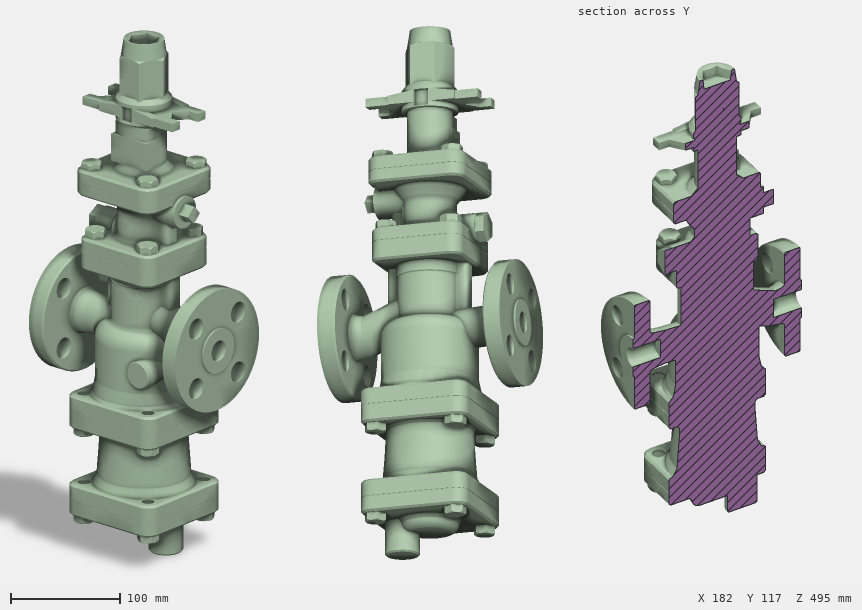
import cadquery as cq
import math


HEX_CORNER_RATIO = 1 / math.cos(math.pi / 6)

COVER_SIDE, COVER_CORNER = 94.0, 13.5
COVER_TOP, COVER_JOINT, COVER_BOTTOM = 158.3, 145.2, 133.2
PILOT_SIDE, PILOT_CORNER = 88.0, 12.0
PILOT_TOP, PILOT_JOINT, PILOT_BOTTOM = 91.2, 78.5, 60.0
BODY_SIDE, BODY_CORNER = 104.0, 12.0
BODY_TOP, BODY_JOINT, BODY_BOTTOM = -62.4, -78.2, -94.7
BASE_TOP, BASE_JOINT, BASE_BOTTOM = -149.2, -165.4, -180.0
FLANGE_EDGE = 2.0
JOINT_GAP = 1.0
JOINT_DEPTH = 0.5

BOLT_FLATS = 17.48
COVER_BOLT_OFFSET = 34.0
PILOT_BOLT_OFFSET = 31.6
BODY_BOLT_OFFSET = 39.0
COVER_HEAD, PILOT_HEAD, BODY_HEAD = 6.0, 7.4, 7.4
BOLT_HOLE_DIA = 12.0
BOLT_HOLE_DEPTH = 2.0

CAP_TOP = 284.3
CAP_HEX_TOP = 269.0
CAP_FLATS = 41.0
CAP_NOSE_DIA, CAP_NOSE_BASE_DIA = 37.4, 42.0
CAP_CHAMFER = 2.0
SOCKET_FLATS, SOCKET_FLOOR_FLATS = 27.0, 24.0
SOCKET_DEPTH = 11.0
SOCKET_MOUTH_DIA = 34.0
SOCKET_MOUTH_DEPTH = 2.0
HUB_DIA, HUB_GROOVE_DIA = 52.0, 48.0
HUB_TOP, HUB_BOTTOM = 227.0, 207.0
HUB_GROOVE_TOP, HUB_GROOVE_BOTTOM = 220.9, 219.7
HUB_CONE_DIA, HUB_CONE_HEIGHT = 44.0, 4.5
NECK_DIA = 42.0
NECK_FOOT_DIA = 56.0
NECK_FOOT_HEIGHT = 6.4

PAD_HALF_WIDTH = 21.5
PAD_BOTTOM, PAD_STEP, PAD_TOP = 164.7, 191.4, 203.7
UPPER_PAD_HALF_WIDTH = 20.0
UPPER_PAD_CORNER_Y = -17.0

WRENCH_LENGTH, WRENCH_WIDTH = 109.4, 46.0
WRENCH_TOP, WRENCH_BOTTOM = 219.7, 211.7
JAW_WIDTH = 25.0
JAW_SIDE_X, JAW_ROOT_X = 44.0, 34.5
WEDGE_IN_X, WEDGE_OUT_X = 7.0, 32.5
WEDGE_IN_Y, WEDGE_OUT_Y = 17.0, 25.2
WEDGE_RISE = 3.8
HUB_SLOT_BOTTOM = 208.0

PILOT_NECK_DIA, PILOT_FOOT_RADIUS = 49.4, 4.0
PILOT_FLARE_DIA = 67.0
PILOT_RIM_DIA, PILOT_RIM_Z = 63.0, 129.5
PILOT_BEND_DIA, PILOT_BEND_TOP, PILOT_BEND_BOTTOM = 54.0, 123.0, 118.0
PORT_FLATS = 24.0
PORT_HEX_DIA = PORT_FLATS * HEX_CORNER_RATIO
PORT_Z, PORT_DIA = 94.0, 27.0
PORT_END_X, PORT_HEX_X = -56.4, -48.0
PORT_FLARE_X, PORT_ROOT_X, PORT_FLARE_DIA = -28.5, -22.0, 40.0
PLUG_Z, PLUG_BOSS_DIA = 125.6, 30.6
PLUG_BOSS_END_X, PLUG_END_X = 50.0, 61.0
PLUG_SIDE = 12.0

UPPER_BODY_DIA = 60.0
UPPER_BAND_DIA, UPPER_BAND_BOTTOM, UPPER_BAND_BEVEL = 62.0, 50.4, 1.0
BODY_DIA = 90.0
SHOULDER_TOP, SHOULDER_BOTTOM = 7.5, -7.5
SHOULDER_INNER_DIA = 67.0
SHOULDER_FILLET_TOP = 12.0
SKIRT_TOP, SKIRT_DIA, SKIRT_BOTTOM = -47.4, 95.0, -59.4
SKIRT_FOOT_DIA = 100.0
COLUMN_WIDTH, COLUMN_CORNER, COLUMN_FILLET = 16.0, 4.4, 5.0
BODY_COLUMN_X, BODY_COLUMN_ROOT_X = 39.4, 32.0
PILOT_COLUMN_X, PILOT_COLUMN_ROOT_X = 35.6, 27.0
FRONT_BOSS_X, FRONT_BOSS_Z = 29.8, -27.0
FRONT_BOSS_DIA, FRONT_BOSS_FACE_Y = 26.0, -43.5
FRONT_BOSS_CHAMFER = 1.0

TRAP_COLLAR_DIA, TRAP_COLLAR_BOTTOM = 86.0, -97.0
TRAP_TOP_DIA, TRAP_TAPER_TOP = 81.6, -103.5
TRAP_BASE_DIA, TRAP_TAPER_BOTTOM = 87.0, -141.0
TRAP_FOOT_DIA = 96.0
BOWL_TOP_DIA = 59.0
BOWL_RIM_DIA, BOWL_RIM_Z = 54.0, -183.5
BOWL_BOTTOM_DIA, BOWL_BOTTOM = 40.0, -191.6
BOWL_ROUNDING = 9.0
OUTLET_X, OUTLET_DIA, OUTLET_BOTTOM = 26.8, 32.0, -210.7
OUTLET_CHAMFER = 1.5

FACE_X, RAISED_DEPTH, RAISED_DIA = 91.0, 2.0, 43.0
PIPE_FLANGE_DIA, PIPE_FLANGE_BACK_X = 117.0, 72.0
PIPE_FLANGE_CHAMFER = 1.5
PIPE_ROOT_DIA = 44.0
PIPE_HUB_DIA, PIPE_HUB_X = 41.0, 69.6
PIPE_DIA = 37.4
INLET_BEND_X, OUTLET_BEND_X = 56.5, 60.5
BORE_DIA, BORE_DEPTH = 20.0, 30.0
PIPE_BOLT_DIA, PIPE_BOLT_CIRCLE = 20.0, 82.6
INLET_TILT, OUTLET_TILT = -3.0, 22.0
BRANCH_LENGTH = 45.0

ARROW_Z, ARROW_HALF_LENGTH = 39.0, 19.0
ARROW_TAIL_HALF, ARROW_STEM_HALF, ARROW_HEAD_HALF = 5.7, 1.8, 5.7
ARROW_HEIGHT = 0.4


def turned(points):
    """Solid of revolution about Z from (radius, z) points, closed on the axis."""
    outline = [(0, points[0][1])] + points + [(0, points[-1][1])]
    return cq.Workplane("XZ").polyline(outline).close().revolve(360, (0, 0, 0), (0, 1, 0))


def disc(diameter, bottom, top):
    return cq.Workplane("XY").workplane(offset=bottom).circle(diameter / 2).extrude(top - bottom)


def hexagon(flats, bottom, top):
    """Hexagonal prism along Z with two corners on the X axis."""
    corners = flats * HEX_CORNER_RATIO
    return cq.Workplane("XY").workplane(offset=bottom).polygon(6, corners).extrude(top - bottom)


def along_x(start_x, end_x, diameter, z=0.0):
    plane = cq.Workplane("YZ", origin=(start_x, 0, z))
    return plane.circle(diameter / 2).extrude(end_x - start_x)


def flange_half(side, corner, bottom, top, edge):
    """Square plate with rounded corners; edge selects the face that is chamfered."""
    plate = cq.Workplane("XY").workplane(offset=bottom).rect(side, side).extrude(top - bottom)
    return plate.edges("|Z").fillet(corner).faces(edge).chamfer(FLANGE_EDGE)


def flange_pair(side, corner, bottom, joint, top):
    """Two bolted plates with a slightly smaller gasket between them."""
    upper = flange_half(side, corner, joint + JOINT_GAP / 2, top, ">Z")
    lower = flange_half(side, corner, bottom, joint - JOINT_GAP / 2, "<Z")
    gasket_side = side - 2 * JOINT_DEPTH
    gasket = cq.Workplane("XY").workplane(offset=joint - JOINT_GAP / 2)
    gasket = gasket.rect(gasket_side, gasket_side).extrude(JOINT_GAP)
    gasket = gasket.edges("|Z").fillet(corner - JOINT_DEPTH)
    return upper.union(gasket).union(lower)


def bolt_heads(offset, seat, height):
    """Four hexagon heads; a negative height hangs them below the seat."""
    corner_radius = BOLT_FLATS / 2 * HEX_CORNER_RATIO
    crown = corner_radius - BOLT_FLATS / 2
    end = seat + height
    shoulder = end - math.copysign(crown, height)
    envelope = turned([(corner_radius, seat), (corner_radius, shoulder), (BOLT_FLATS / 2, end)])
    head = hexagon(BOLT_FLATS, min(seat, end), max(seat, end)).intersect(envelope)
    head = head.translate((-offset, -offset, 0))
    heads = head
    for quarter in range(1, 4):
        heads = heads.union(head.rotate((0, 0, 0), (0, 0, 1), 90 * quarter))
    return heads


def bolt_holes(top):
    """Shallow bolt holes in the top of a body flange."""
    spacing = 2 * BODY_BOLT_OFFSET
    holes = cq.Workplane("XY").workplane(offset=top)
    holes = holes.rect(spacing, spacing, forConstruction=True).vertices()
    return holes.circle(BOLT_HOLE_DIA / 2).extrude(-BOLT_HOLE_DEPTH)


def column(outer_x, root_x, bottom, top):
    """Upright passage rib on the +X side with concave root fillets starting at root_x."""
    half = COLUMN_WIDTH / 2
    foot_x, foot_y = root_x - COLUMN_FILLET, half + COLUMN_FILLET
    rib = cq.Workplane("XY").workplane(offset=bottom)
    rib = rib.moveTo(0, -foot_y).lineTo(foot_x, -foot_y)
    rib = rib.radiusArc((root_x, -half), COLUMN_FILLET)
    rib = rib.lineTo(outer_x, -half).lineTo(outer_x, half).lineTo(root_x, half)
    rib = rib.radiusArc((foot_x, foot_y), COLUMN_FILLET)
    rib = rib.lineTo(0, foot_y).close().extrude(top - bottom)
    return rib.edges("|Z and >X").fillet(COLUMN_CORNER)


def adjusting_cap():
    """Hexagon cap with a tapered nose and a drafted hexagon socket."""
    corner_radius = CAP_FLATS / 2 * HEX_CORNER_RATIO
    base_radius = CAP_NOSE_BASE_DIA / 2
    envelope = turned([
        (corner_radius, HUB_TOP),
        (corner_radius, CAP_HEX_TOP - CAP_CHAMFER),
        (base_radius, CAP_HEX_TOP),
    ])
    cap = hexagon(CAP_FLATS, HUB_TOP, CAP_HEX_TOP).intersect(envelope)
    nose = turned([(base_radius, CAP_HEX_TOP), (CAP_NOSE_DIA / 2, CAP_TOP)])
    socket = cq.Workplane("XY").workplane(offset=CAP_TOP).polygon(6, SOCKET_FLATS * HEX_CORNER_RATIO)
    socket = socket.workplane(offset=-SOCKET_DEPTH).polygon(6, SOCKET_FLOOR_FLATS * HEX_CORNER_RATIO)
    socket = socket.loft(ruled=True)
    mouth = turned([
        (SOCKET_FLATS / 2, CAP_TOP - SOCKET_MOUTH_DEPTH),
        (SOCKET_MOUTH_DIA / 2, CAP_TOP),
    ])
    return cap.union(nose).cut(socket).cut(mouth)


def hub():
    """Grooved round collar under the cap, coned towards the hexagon."""
    outer, inner = HUB_DIA / 2, HUB_GROOVE_DIA / 2
    return turned([
        (outer, HUB_BOTTOM),
        (outer, HUB_GROOVE_BOTTOM),
        (inner, HUB_GROOVE_BOTTOM),
        (inner, HUB_GROOVE_TOP),
        (outer, HUB_GROOVE_TOP),
        (outer, HUB_TOP),
        (HUB_CONE_DIA / 2, HUB_TOP + HUB_CONE_HEIGHT),
    ])


def wrench_plate():
    """Flat bar with an open jaw at each end."""
    thickness = WRENCH_TOP - WRENCH_BOTTOM
    plate = cq.Workplane("XY").workplane(offset=WRENCH_BOTTOM)
    plate = plate.rect(WRENCH_LENGTH, WRENCH_WIDTH).extrude(thickness)
    for side in (-1, 1):
        jaw = cq.Workplane("XY").workplane(offset=WRENCH_BOTTOM).polyline([
            (side * WRENCH_LENGTH / 2, -JAW_WIDTH / 2),
            (side * JAW_SIDE_X, -JAW_WIDTH / 2),
            (side * JAW_ROOT_X, 0),
            (side * JAW_SIDE_X, JAW_WIDTH / 2),
            (side * WRENCH_LENGTH / 2, JAW_WIDTH / 2),
        ]).close().extrude(thickness)
        plate = plate.cut(jaw)
    return plate


def wedges():
    """Four pads beside the hub that thicken the plate towards the middle."""
    profile = [
        (WEDGE_OUT_X, WRENCH_BOTTOM),
        (WEDGE_OUT_X, WRENCH_TOP),
        (WEDGE_IN_X, WRENCH_TOP + WEDGE_RISE),
        (WEDGE_IN_X, WRENCH_BOTTOM),
    ]
    pad = cq.Workplane("XZ", origin=(0, -WEDGE_IN_Y, 0)).polyline(profile).close()
    pad = pad.extrude(WEDGE_OUT_Y - WEDGE_IN_Y)
    pair = pad.union(pad.mirror("YZ"))
    return pair.union(pair.mirror("XZ"))


def hub_slots():
    """Slots through the front and back of the hub, down to the neck surface."""
    bottom, top = HUB_SLOT_BOTTOM, WRENCH_TOP + WEDGE_RISE
    slot = cq.Workplane("XY").workplane(offset=bottom)
    slot = slot.rect(2 * WEDGE_IN_X, HUB_DIA).extrude(top - bottom)
    return slot.cut(disc(NECK_DIA, bottom, top))


def neck():
    """Round neck above the cover with squared-off pads on its front half."""
    radius, foot = NECK_DIA / 2, NECK_FOOT_DIA / 2
    post = turned([
        (foot, COVER_TOP),
        (radius, COVER_TOP + NECK_FOOT_HEIGHT),
        (radius, HUB_BOTTOM),
    ])
    lower = cq.Workplane("XY").workplane(offset=PAD_BOTTOM)
    lower = lower.center(0, -PAD_HALF_WIDTH / 2).rect(2 * PAD_HALF_WIDTH, PAD_HALF_WIDTH)
    lower = lower.extrude(PAD_STEP - PAD_BOTTOM)
    upper = cq.Workplane("XY").workplane(offset=PAD_STEP)
    upper = upper.moveTo(UPPER_PAD_HALF_WIDTH, 0)
    upper = upper.lineTo(UPPER_PAD_HALF_WIDTH, UPPER_PAD_CORNER_Y)
    upper = upper.threePointArc(
        (0, -PAD_HALF_WIDTH), (-UPPER_PAD_HALF_WIDTH, UPPER_PAD_CORNER_Y))
    upper = upper.lineTo(-UPPER_PAD_HALF_WIDTH, 0).close().extrude(PAD_TOP - PAD_STEP)
    return post.union(lower).union(upper)


def pilot_neck():
    """Round neck between the cover and pilot flanges, flared under the cover."""
    radius = PILOT_NECK_DIA / 2
    profile = cq.Workplane("XZ").moveTo(0, PILOT_TOP)
    profile = profile.lineTo(radius + PILOT_FOOT_RADIUS, PILOT_TOP)
    profile = profile.radiusArc((radius, PILOT_TOP + PILOT_FOOT_RADIUS), PILOT_FOOT_RADIUS)
    profile = profile.lineTo(radius, PILOT_BEND_BOTTOM)
    profile = profile.tangentArcPoint((PILOT_BEND_DIA / 2, PILOT_BEND_TOP), relative=False)
    profile = profile.lineTo(PILOT_RIM_DIA / 2, PILOT_RIM_Z)
    profile = profile.lineTo(PILOT_FLARE_DIA / 2, COVER_BOTTOM)
    profile = profile.lineTo(0, COVER_BOTTOM).close()
    return profile.revolve(360, (0, 0, 0), (0, 1, 0))


def sensing_port():
    """Round port on the -X side with a hexagon end and a flared root."""
    port = along_x(PORT_HEX_X, PORT_ROOT_X, PORT_DIA, PORT_Z)
    end = cq.Workplane("YZ", origin=(PORT_END_X, 0, PORT_Z)).polygon(6, PORT_HEX_DIA)
    end = end.extrude(PORT_HEX_X - PORT_END_X)
    end = end.rotate((0, 0, PORT_Z), (1, 0, PORT_Z), 90)
    flare = cq.Workplane("YZ", origin=(PORT_FLARE_X, 0, PORT_Z)).circle(PORT_DIA / 2)
    flare = flare.workplane(offset=PORT_ROOT_X - PORT_FLARE_X).circle(PORT_FLARE_DIA / 2).loft()
    return port.union(end).union(flare)


def plugged_port():
    """Round boss on the +X side closed by a square-headed plug set on edge."""
    boss = along_x(0, PLUG_BOSS_END_X, PLUG_BOSS_DIA, PLUG_Z)
    plug = cq.Workplane("YZ", origin=(PLUG_BOSS_END_X, 0, PLUG_Z)).rect(PLUG_SIDE, PLUG_SIDE)
    plug = plug.extrude(PLUG_END_X - PLUG_BOSS_END_X)
    plug = plug.rotate((0, 0, PLUG_Z), (1, 0, PLUG_Z), 45)
    return boss.union(plug)


def valve_body():
    """Main casting from the pilot flange down to the body flange."""
    profile = cq.Workplane("XZ").moveTo(0, PILOT_BOTTOM)
    profile = profile.lineTo(UPPER_BAND_DIA / 2, PILOT_BOTTOM)
    profile = profile.lineTo(UPPER_BAND_DIA / 2, UPPER_BAND_BOTTOM)
    profile = profile.lineTo(UPPER_BODY_DIA / 2, UPPER_BAND_BOTTOM - UPPER_BAND_BEVEL)
    profile = profile.lineTo(UPPER_BODY_DIA / 2, SHOULDER_FILLET_TOP)
    profile = profile.tangentArcPoint((SHOULDER_INNER_DIA / 2, SHOULDER_TOP), relative=False)
    profile = profile.tangentArcPoint((BODY_DIA / 2, SHOULDER_BOTTOM), relative=False)
    profile = profile.lineTo(BODY_DIA / 2, SKIRT_TOP)
    profile = profile.lineTo(SKIRT_DIA / 2, SKIRT_BOTTOM)
    profile = profile.lineTo(SKIRT_FOOT_DIA / 2, BODY_TOP)
    profile = profile.lineTo(0, BODY_TOP).close()
    body = profile.revolve(360, (0, 0, 0), (0, 1, 0))
    rib = column(BODY_COLUMN_X, BODY_COLUMN_ROOT_X, 0, PILOT_BOTTOM)
    return body.union(rib).union(rib.mirror("YZ"))


def front_boss():
    plane = cq.Workplane("XZ", origin=(FRONT_BOSS_X, 0, FRONT_BOSS_Z))
    boss = plane.circle(FRONT_BOSS_DIA / 2).extrude(-FRONT_BOSS_FACE_Y)
    return boss.faces("<Y").chamfer(FRONT_BOSS_CHAMFER)


def flow_arrow():
    """Low raised arrow pointing along +X."""
    head_start = ARROW_HALF_LENGTH - ARROW_HEAD_HALF
    outline = [
        (-ARROW_HALF_LENGTH, ARROW_TAIL_HALF),
        (0, ARROW_TAIL_HALF),
        (0, ARROW_STEM_HALF),
        (head_start, ARROW_STEM_HALF),
        (head_start, ARROW_HEAD_HALF),
        (ARROW_HALF_LENGTH, 0),
    ]
    mirrored = [(x, -z) for x, z in reversed(outline[:-1])]
    arrow = cq.Workplane("XZ", origin=(0, 0, ARROW_Z)).polyline(outline + mirrored).close()
    arrow = arrow.extrude(UPPER_BODY_DIA)
    skin = disc(UPPER_BODY_DIA + 2 * ARROW_HEIGHT, SHOULDER_TOP, PILOT_BOTTOM)
    return arrow.intersect(skin)


def trap_body():
    """Tapered round body between the two lower flange pairs."""
    return turned([
        (TRAP_COLLAR_DIA / 2, BODY_BOTTOM),
        (TRAP_TOP_DIA / 2, TRAP_COLLAR_BOTTOM),
        (TRAP_TOP_DIA / 2, TRAP_TAPER_TOP),
        (TRAP_BASE_DIA / 2, TRAP_TAPER_BOTTOM),
        (TRAP_FOOT_DIA / 2, BASE_TOP),
    ])


def bowl_and_outlet():
    """Shallow bowl under the base flange and the vertical drain stub."""
    bowl = cq.Workplane("XZ").moveTo(0, BASE_BOTTOM).lineTo(BOWL_TOP_DIA / 2, BASE_BOTTOM)
    bowl = bowl.lineTo(BOWL_RIM_DIA / 2, BOWL_RIM_Z)
    bowl = bowl.radiusArc((BOWL_BOTTOM_DIA / 2, BOWL_BOTTOM), BOWL_ROUNDING)
    bowl = bowl.lineTo(0, BOWL_BOTTOM).close().revolve(360, (0, 0, 0), (0, 1, 0))
    stub = disc(OUTLET_DIA, OUTLET_BOTTOM, BASE_BOTTOM).faces("<Z").chamfer(OUTLET_CHAMFER)
    return bowl.union(stub.translate((OUTLET_X, 0, 0)))


def pipe_connection(bend_x, tilt):
    """Flanged pipe on the +X side; the inner branch rises by the tilt angle."""
    plate_face_x = FACE_X - RAISED_DEPTH
    plate = along_x(PIPE_FLANGE_BACK_X, plate_face_x, PIPE_FLANGE_DIA)
    plate = plate.faces("<X").chamfer(PIPE_FLANGE_CHAMFER)
    raised = along_x(plate_face_x, FACE_X, RAISED_DIA)
    taper = turned([
        (PIPE_DIA / 2, bend_x),
        (PIPE_HUB_DIA / 2, PIPE_HUB_X),
        (PIPE_ROOT_DIA / 2, PIPE_FLANGE_BACK_X),
    ]).rotate((0, 0, 0), (0, 1, 0), 90)
    elbow = cq.Workplane("XY").sphere(PIPE_DIA / 2).translate((bend_x, 0, 0))
    branch = along_x(bend_x - BRANCH_LENGTH, bend_x, PIPE_DIA)
    branch = branch.rotate((bend_x, 0, 0), (bend_x, 1, 0), tilt)
    holes = cq.Workplane("YZ", origin=(PIPE_FLANGE_BACK_X, 0, 0))
    holes = holes.polarArray(PIPE_BOLT_CIRCLE / 2, 45, 360, 4).circle(PIPE_BOLT_DIA / 2)
    holes = holes.extrude(FACE_X - PIPE_FLANGE_BACK_X)
    pipe = plate.cut(holes).union(raised).union(taper).union(elbow)
    return pipe.union(branch)


def pipe_bore():
    return along_x(FACE_X - BORE_DEPTH, FACE_X, BORE_DIA)


wrench = hub().union(wrench_plate()).union(wedges()).cut(hub_slots())
result = adjusting_cap().union(wrench).union(neck())
result = result.union(flange_pair(COVER_SIDE, COVER_CORNER, COVER_BOTTOM, COVER_JOINT, COVER_TOP))
result = result.union(bolt_heads(COVER_BOLT_OFFSET, COVER_TOP, COVER_HEAD))

result = result.union(pilot_neck()).union(sensing_port()).union(plugged_port())
result = result.union(column(PILOT_COLUMN_X, PILOT_COLUMN_ROOT_X, PILOT_TOP, PLUG_Z))
result = result.union(flange_pair(PILOT_SIDE, PILOT_CORNER, PILOT_BOTTOM, PILOT_JOINT, PILOT_TOP))
result = result.union(bolt_heads(PILOT_BOLT_OFFSET, PILOT_TOP, PILOT_HEAD))

result = result.union(valve_body()).union(front_boss()).union(flow_arrow())
result = result.union(pipe_connection(OUTLET_BEND_X, OUTLET_TILT))
result = result.union(pipe_connection(INLET_BEND_X, INLET_TILT).mirror("YZ"))
result = result.cut(pipe_bore()).cut(pipe_bore().mirror("YZ"))

result = result.union(flange_pair(BODY_SIDE, BODY_CORNER, BODY_BOTTOM, BODY_JOINT, BODY_TOP))
result = result.union(bolt_heads(BODY_BOLT_OFFSET, BODY_BOTTOM, -BODY_HEAD))
result = result.union(trap_body())
result = result.union(flange_pair(BODY_SIDE, BODY_CORNER, BASE_BOTTOM, BASE_JOINT, BASE_TOP))
result = result.union(bolt_heads(BODY_BOLT_OFFSET, BASE_BOTTOM, -BODY_HEAD))
result = result.union(bowl_and_outlet())
result = result.cut(bolt_holes(BODY_TOP)).cut(bolt_holes(BASE_TOP))